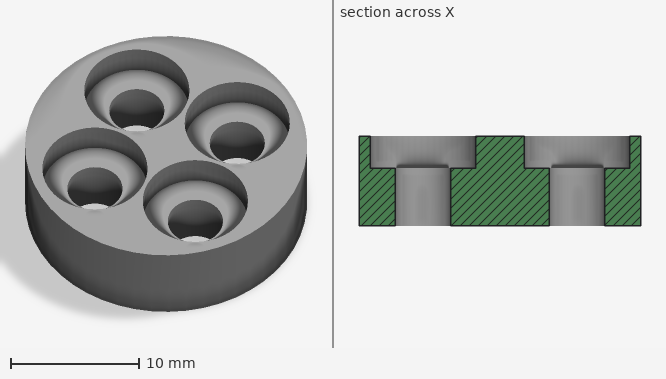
import cadquery as cq

body_diameter = 22.0
body_height = 7.0

hole_count = 4
pitch_radius = 6.0
hole_diameter = 4.3
counterbore_diameter = 8.2
counterbore_depth = 2.5


def make_body():
    """Plain disc standing on the plane Z = 0, centred on the Z axis."""
    return cq.Workplane("XY").circle(body_diameter / 2).extrude(body_height)


def cut_counterbored_holes(body):
    """Cut the evenly spaced through holes, counterbored from the top face."""
    return (
        body.faces(">Z")
        .workplane()
        .polarArray(pitch_radius, 0, 360, hole_count)
        .cboreHole(hole_diameter, counterbore_diameter, counterbore_depth)
    )


result = cut_counterbored_holes(make_body())